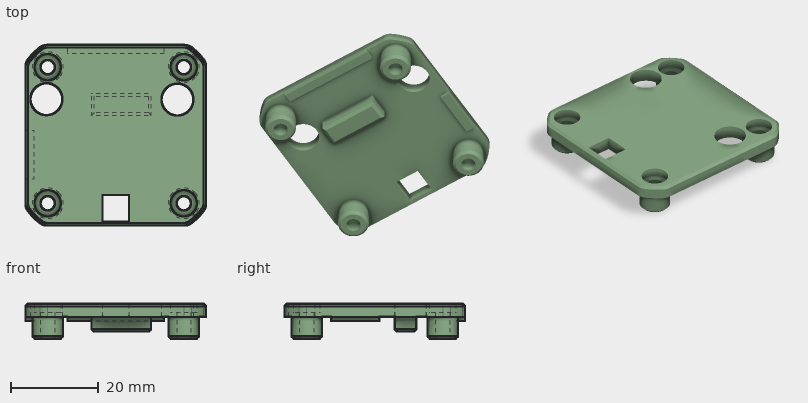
import cadquery as cq
import math

side = 41.2
plate_thickness = 3.0
edge_chamfer = 0.6

corner_run = 5.1
crown_radius = 13.6
blend_radius = 2.9

boss_spacing = 31.0
boss_diameter = 7.0
total_height = 8.0
screw_hole_diameter = 3.2
counterbore_diameter = 6.0
counterbore_depth = 2.0

opening_diameter = 7.2
opening_centers = [(-15.8, 8.2), (14.05, 8.1)]

window_side = 6.0
window_center_y = -16.65

ledge_drop = 1.0
ledge_width = 2.0
left_ledge_length = 11.0
left_ledge_center_y = -4.45
rear_ledge_length = 22.0

block_size_x = 13.6
block_size_y = 4.95
block_center_x = 1.28
block_center_y = 7.0
block_drop = 3.38

quarter_turn = math.pi / 2
half_side = side / 2
boss_height = total_height - plate_thickness

upper_face = 0
underside = upper_face - plate_thickness


def hanging_box(size_x, size_y, drop, center):
    """Rectangular block hanging from the underside of the plate."""
    return (
        cq.Workplane("XY", origin=(0, 0, underside))
        .center(*center)
        .rect(size_x, size_y)
        .extrude(-drop)
    )


def on_circle(center, radius, angle):
    """Point on a circle at an angle measured from +X."""
    return (center[0] + radius * math.cos(angle), center[1] + radius * math.sin(angle))


def turned(point, angle):
    """Point rotated about the plate's centre."""
    x, y = point
    return (x * math.cos(angle) - y * math.sin(angle), x * math.sin(angle) + y * math.cos(angle))


def corner_points():
    """Points around the +X +Y corner: its start, then a midpoint and an end for each of its three arcs."""
    diagonal = quarter_turn / 2
    half_span = math.asin((corner_run - blend_radius) / (math.sqrt(2) * (crown_radius - blend_radius)))
    blend_turn = diagonal - half_span

    first_blend = (half_side - blend_radius, half_side - corner_run)
    second_blend = (half_side - corner_run, half_side - blend_radius)
    crown_center = on_circle(first_blend, blend_radius - crown_radius, blend_turn)
    return [
        on_circle(first_blend, blend_radius, 0),
        on_circle(first_blend, blend_radius, blend_turn / 2),
        on_circle(first_blend, blend_radius, blend_turn),
        on_circle(crown_center, crown_radius, diagonal),
        on_circle(second_blend, blend_radius, quarter_turn - blend_turn),
        on_circle(second_blend, blend_radius, quarter_turn - blend_turn / 2),
        on_circle(second_blend, blend_radius, quarter_turn),
    ]


def make_plate():
    """Square plate with rounded corners and a chamfered upper rim."""
    corner = corner_points()
    outline = cq.Workplane("XY", origin=(0, 0, underside)).moveTo(*turned(corner[-1], -quarter_turn))
    for quarter in range(4):
        points = [turned(point, quarter * quarter_turn) for point in corner]
        outline = outline.lineTo(*points[0])
        for middle, end in zip(points[1::2], points[2::2]):
            outline = outline.threePointArc(middle, end)
    plate = outline.close().extrude(plate_thickness)
    return plate.faces(">Z").edges().chamfer(edge_chamfer)


def screw_positions(level):
    """Horizontal workplane at the given Z with a point at each screw position."""
    plane = cq.Workplane("XY", origin=(0, 0, level))
    return plane.rect(boss_spacing, boss_spacing, forConstruction=True).vertices()


def make_bosses():
    """Four round bosses with chamfered lower ends."""
    bosses = screw_positions(underside).circle(boss_diameter / 2).extrude(-boss_height)
    return bosses.faces("<Z").edges().chamfer(edge_chamfer)


def make_ledges():
    """Shallow ledges flush with the left and rear edges."""
    inset = half_side - ledge_width / 2
    left = hanging_box(ledge_width, left_ledge_length, ledge_drop, (-inset, left_ledge_center_y))
    rear = hanging_box(rear_ledge_length, ledge_width, ledge_drop, (0, inset))
    return left.union(rear)


def make_block():
    """Support block with a chamfered lower face."""
    block = hanging_box(block_size_x, block_size_y, block_drop, (block_center_x, block_center_y))
    return block.faces("<Z").edges().chamfer(edge_chamfer)


body = make_plate().union(make_bosses()).union(make_ledges()).union(make_block())

screw_holes = screw_positions(upper_face).circle(screw_hole_diameter / 2).extrude(-total_height)
counterbores = screw_positions(upper_face).circle(counterbore_diameter / 2).extrude(-counterbore_depth)
upper_plane = cq.Workplane("XY", origin=(0, 0, upper_face))
openings = upper_plane.pushPoints(opening_centers).circle(opening_diameter / 2).extrude(-plate_thickness)
window = upper_plane.center(0, window_center_y).rect(window_side, window_side).extrude(-plate_thickness)

result = body.cut(screw_holes).cut(counterbores).cut(openings).cut(window)